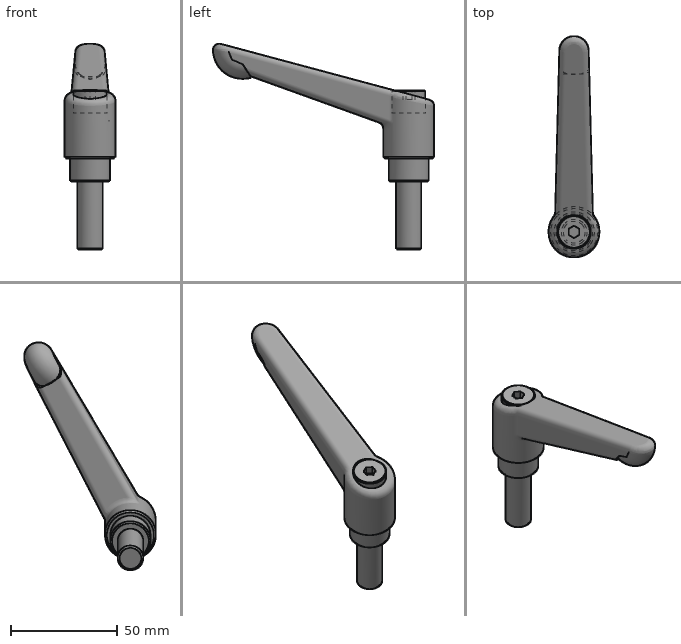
import cadquery as cq
import math


stud_radius = 6.0
collar_radius = 9.5
collar_bottom = 32.0
collar_chamfer = 0.8
stud_chamfer = 0.9

hub_bottom = 42.9
hub_chamfer = 0.9
overall_length = 104.0
hub_diameter = 24.0
hub_radius = hub_diameter / 2
top_height_at_axis = 73.2
top_angle = 15.0
top_fillet = 3.0

tip_radius = 7.0
tip_y = overall_length - hub_radius - tip_radius
root_half_width = 8.9
root_y = 8.1
underside_height_at_axis = 54.8
underside_angle = 19.8
underside_fillet = 3.0
root_fillet = 3.0

lobe_outer_radius = 14.0
lobe_path_radius = lobe_outer_radius - tip_radius
lobe_y = tip_y - lobe_path_radius
lobe_z = 94.3
lobe_start_y = 74.2

screw_radius = 7.9
screw_top = 75.0
screw_bottom = 64.5
screw_chamfer = 0.5
hex_across_flats = 5.0
hex_depth = 4.2


def top_z(y):
    return top_height_at_axis + y * math.tan(math.radians(top_angle))


def underside_z(y):
    return underside_height_at_axis + y * math.tan(math.radians(underside_angle))


def make_side_prism(points, half_width):
    """Extrude a (y, z) outline equally to both sides of the YZ plane."""
    return cq.Workplane("YZ").polyline(points).close().extrude(half_width, both=True)


def make_hub():
    far_y = 2 * hub_radius
    hub = (
        cq.Workplane("XY").workplane(offset=hub_bottom)
        .circle(hub_radius).extrude(top_z(far_y) - hub_bottom)
        .faces("<Z").chamfer(hub_chamfer)
    )
    below_top = make_side_prism(
        [(-far_y, 0), (far_y, 0), (far_y, top_z(far_y)), (-far_y, top_z(-far_y))], far_y
    )
    return hub.intersect(below_top)


def make_arm(underside_points):
    """Tapered arm with a round tip, from the (y, z) line of its lower side up to the top plane."""
    taper = math.atan2(root_half_width - tip_radius, tip_y - root_y)
    tangent_x = tip_radius * math.cos(taper)
    tangent_y = tip_y + tip_radius * math.sin(taper)
    axis_half_width = root_half_width + root_y * math.tan(taper)
    plan = (
        cq.Workplane("XY")
        .moveTo(-axis_half_width, 0)
        .lineTo(axis_half_width, 0)
        .lineTo(tangent_x, tangent_y)
        .threePointArc((0, tip_y + tip_radius), (-tangent_x, tangent_y))
        .close()
        .extrude(2 * overall_length)
    )
    top_points = [(overall_length, top_z(overall_length)), (0, top_z(0))]
    return plan.intersect(make_side_prism(underside_points + top_points, hub_radius))


def make_main_arm():
    arm = make_arm([(0, underside_z(0)), (overall_length, underside_z(overall_length))])
    underside = cq.selectors.BoxSelector(
        (-hub_radius, lobe_y / 2 - hub_radius, underside_z(lobe_y / 2) - hub_radius),
        (hub_radius, lobe_y / 2 + hub_radius, underside_z(lobe_y / 2) + underside_fillet),
    )
    return arm.edges(underside).fillet(underside_fillet)


def round_top(body):
    """Fillet the whole rim of the sloped top plane."""
    slope = math.radians(top_angle)
    upward = cq.Vector(0, -math.sin(slope), math.cos(slope))
    return body.faces(cq.selectors.DirectionMinMaxSelector(upward)).edges().fillet(top_fillet)


def make_lobe_space():
    """Lower corner of the arm tip, which the lobe replaces."""
    diagonal = lobe_path_radius * math.sqrt(0.5)
    return make_side_prism(
        [
            (lobe_start_y, 0),
            (lobe_start_y, underside_z(lobe_start_y)),
            (lobe_y, lobe_z - lobe_path_radius),
            (lobe_y + diagonal, lobe_z - diagonal),
            (tip_y, lobe_z),
            (overall_length, lobe_z),
            (overall_length, 0),
        ],
        hub_radius,
    )


def make_lobe():
    """Round-edged disc sector that fills the corner below the arm tip."""
    start_angle = math.atan2(lobe_start_y - lobe_y, lobe_z - underside_z(lobe_start_y))
    sweep = 90 - math.degrees(start_angle)
    section = (
        cq.Workplane("XZ")
        .moveTo(-tip_radius, 0)
        .lineTo(tip_radius, 0)
        .lineTo(tip_radius, -lobe_path_radius)
        .threePointArc((0, -lobe_outer_radius), (-tip_radius, -lobe_path_radius))
        .close()
    )
    lobe = (
        section.revolve(sweep, (0, 0), (1, 0))
        .rotate((0, 0, 0), (1, 0, 0), math.degrees(start_angle))
        .translate((0, lobe_y, lobe_z))
    )
    return lobe.intersect(round_top(make_arm([(0, 0), (overall_length, 0)])))


def make_handle():
    handle = make_hub().union(make_main_arm())
    root_edges = cq.selectors.BoxSelector(
        (-hub_radius, root_y - root_fillet, hub_bottom), (hub_radius, root_y + root_fillet, screw_top)
    )
    handle = handle.edges(root_edges).edges("|Z").fillet(root_fillet)
    handle = round_top(handle).cut(make_lobe_space()).union(make_lobe())
    recess = (
        cq.Workplane("XY").workplane(offset=screw_bottom)
        .circle(screw_radius).extrude(overall_length)
    )
    return handle.cut(recess)


def make_insert():
    stud = (
        cq.Workplane("XY")
        .circle(stud_radius).extrude(collar_bottom)
        .faces("<Z").chamfer(stud_chamfer)
    )
    collar = (
        cq.Workplane("XY").workplane(offset=collar_bottom)
        .circle(collar_radius).extrude(hub_bottom - collar_bottom)
        .faces("<Z").chamfer(collar_chamfer)
    )
    return stud.union(collar)


def make_screw():
    corner_diameter = hex_across_flats / math.cos(math.radians(30))
    screw = (
        cq.Workplane("XY").workplane(offset=screw_bottom)
        .circle(screw_radius).extrude(screw_top - screw_bottom)
        .faces(">Z").chamfer(screw_chamfer)
    )
    socket = (
        cq.Workplane("XY").workplane(offset=screw_top - hex_depth)
        .polygon(6, corner_diameter).extrude(hex_depth)
        .rotate((0, 0, 0), (0, 0, 1), 30)
    )
    return screw.cut(socket)


handle = make_handle()
insert = make_insert()
screw = make_screw()

result = cq.Compound.makeCompound([handle.val(), insert.val(), screw.val()])